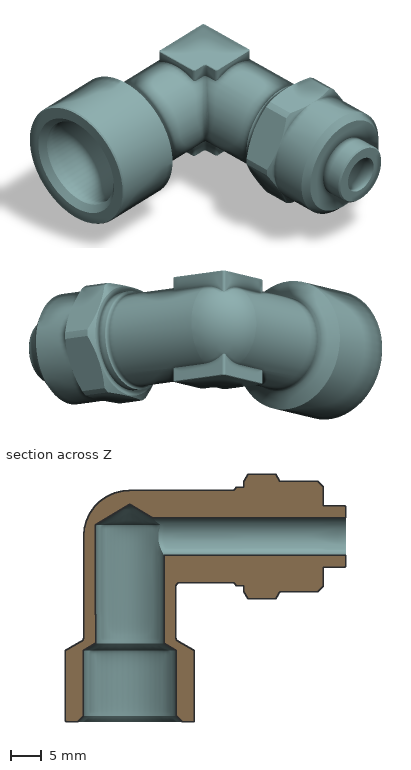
import cadquery as cq
import math

overall_length = 45.5
pipe_radius = 7.5
blend_radius = 0.5

socket_radius = 10.5
socket_mouth_y = -30.0
socket_back_y = -18.45
socket_cone_angle = 30
socket_mouth_chamfer_length = 0.27
socket_mouth_chamfer_depth = 0.15

collar_radius = pipe_radius + blend_radius
collar_start_x = 17.1
nut_start_x = 18.4
nut_end_x = 24.35
nut_across_flats = 18.0
nut_corner_radius = 10.1
nut_face_radius = 8.85
nut_chamfer_angle = 30
sleeve_radius = nut_across_flats / 2
sleeve_end_x = 31.35
sleeve_chamfer = 1.0
stub_radius = 5.0
stub_end_x = overall_length - socket_radius
stub_chamfer = 0.25

pad_height = 8.6
pad_outer_reach = 4.0
pad_inner_reach = 6.5
pad_notch_reach = 3.95
pad_corner_radius = 0.4
pad_edge_chamfer = 0.1

crotch_size = 10.9
crotch_height = 13.65

countersink_radius = 8.45
thread_bore_radius = 7.45
inner_bore_radius = 5.5
run_bore_radius = 3.0
drill_half_angle = 59
drill_tip_y = 5.2

pick_margin = 0.05


def revolve_about_x(points):
    """Revolve (x, radius) points about the X axis."""
    return cq.Workplane("XY").polyline(points).close().revolve(360, (0, 0, 0), (1, 0, 0))


def revolve_about_y(points):
    """Revolve (radius, y) points about the Y axis."""
    return cq.Workplane("XY").polyline(points).close().revolve(360, (0, 0, 0), (0, 1, 0))


def make_socket_leg():
    """Pipe along -Y flaring through a filleted cone into the socket."""
    cone_length = (socket_radius - pipe_radius) * math.tan(math.radians(socket_cone_angle))
    neck_y = socket_back_y + cone_length
    leg = revolve_about_y([
        (0, 0),
        (pipe_radius, 0),
        (pipe_radius, neck_y),
        (socket_radius, socket_back_y),
        (socket_radius, socket_mouth_y + socket_mouth_chamfer_length),
        (socket_radius - socket_mouth_chamfer_depth, socket_mouth_y),
        (0, socket_mouth_y),
    ])
    neck_edge = cq.selectors.BoxSelector(
        (-socket_radius, neck_y - pick_margin, -socket_radius),
        (socket_radius, neck_y + pick_margin, socket_radius),
        boundingbox=True,
    )
    return leg.edges(neck_edge).fillet(blend_radius)


def make_run_leg():
    """Pipe, collar, sleeve and stub; a quarter arc blends the pipe into the collar."""
    return (
        cq.Workplane("XY")
        .lineTo(0, pipe_radius)
        .lineTo(collar_start_x - blend_radius, pipe_radius)
        .tangentArcPoint((collar_start_x, collar_radius), relative=False)
        .lineTo(nut_start_x, collar_radius)
        .lineTo(nut_start_x, nut_face_radius)
        .lineTo(nut_end_x, sleeve_radius)
        .lineTo(sleeve_end_x - sleeve_chamfer, sleeve_radius)
        .lineTo(sleeve_end_x, sleeve_radius - sleeve_chamfer)
        .lineTo(sleeve_end_x, stub_radius)
        .lineTo(stub_end_x - stub_chamfer, stub_radius)
        .lineTo(stub_end_x, stub_radius - stub_chamfer)
        .lineTo(stub_end_x, 0)
        .close()
        .revolve(360, (0, 0, 0), (1, 0, 0))
    )


def make_nut():
    """Hexagon with corners on Y, rounded and chamfered by a turned blank."""
    corner_diameter = nut_across_flats / math.cos(math.pi / 6)
    hexagon = (
        cq.Workplane("YZ", origin=(nut_start_x, 0, 0))
        .polygon(6, corner_diameter)
        .extrude(nut_end_x - nut_start_x)
    )
    chamfer_length = (nut_corner_radius - nut_face_radius) * math.tan(math.radians(nut_chamfer_angle))
    blank = revolve_about_x([
        (nut_start_x, 0),
        (nut_start_x, nut_face_radius),
        (nut_start_x + chamfer_length, nut_corner_radius),
        (nut_end_x - chamfer_length, nut_corner_radius),
        (nut_end_x, nut_face_radius),
        (nut_end_x, 0),
    ])
    return hexagon.intersect(blank)


def make_pads():
    """One notched block through the elbow; its two ends form the pads."""
    return (
        cq.Workplane("XY", origin=(0, 0, -pad_height))
        .polyline([
            (-pad_outer_reach, pad_outer_reach),
            (pad_inner_reach, pad_outer_reach),
            (pad_inner_reach, -pad_notch_reach),
            (pad_notch_reach, -pad_notch_reach),
            (pad_notch_reach, -pad_inner_reach),
            (-pad_outer_reach, -pad_inner_reach),
        ])
        .close()
        .extrude(2 * pad_height)
        .edges("|Z")
        .fillet(pad_corner_radius)
        .faces("<Z or >Z")
        .chamfer(pad_edge_chamfer)
    )


def make_socket_bore():
    """Countersunk thread bore, then a drilled bore with a conical end."""
    drill_slope = math.tan(math.radians(drill_half_angle))
    countersink_depth = countersink_radius - thread_bore_radius
    step_length = (thread_bore_radius - inner_bore_radius) / drill_slope
    return revolve_about_y([
        (0, socket_mouth_y),
        (countersink_radius, socket_mouth_y),
        (thread_bore_radius, socket_mouth_y + countersink_depth),
        (thread_bore_radius, socket_back_y),
        (inner_bore_radius, socket_back_y + step_length),
        (inner_bore_radius, drill_tip_y - inner_bore_radius / drill_slope),
        (0, drill_tip_y),
    ])


def make_run_bore():
    """Straight bore from the elbow out through the stub."""
    return cq.Workplane("YZ").circle(run_bore_radius).extrude(stub_end_x)


def make_rounded_crotch(legs):
    """Middle slab of the inner corner, with the crease between the legs rounded.

    The crease fades out above the slab, where the pads cover it.
    """
    slab = cq.Workplane("XY").box(crotch_size, crotch_size, crotch_height, centered=(False, False, True))
    corner = legs.intersect(slab.translate((0, -crotch_size, 0)))
    crease = cq.selectors.BoxSelector(
        (pick_margin, -pipe_radius - pick_margin, -pipe_radius),
        (pipe_radius + pick_margin, -pick_margin, pipe_radius),
        boundingbox=True,
    )
    return corner.edges(crease).fillet(blend_radius)


elbow_ball = cq.Workplane("XY").sphere(pipe_radius)
legs = make_socket_leg().union(make_run_leg()).union(elbow_ball)
body = legs.union(make_rounded_crotch(legs)).union(make_pads()).union(make_nut())
result = body.cut(make_socket_bore()).cut(make_run_bore())